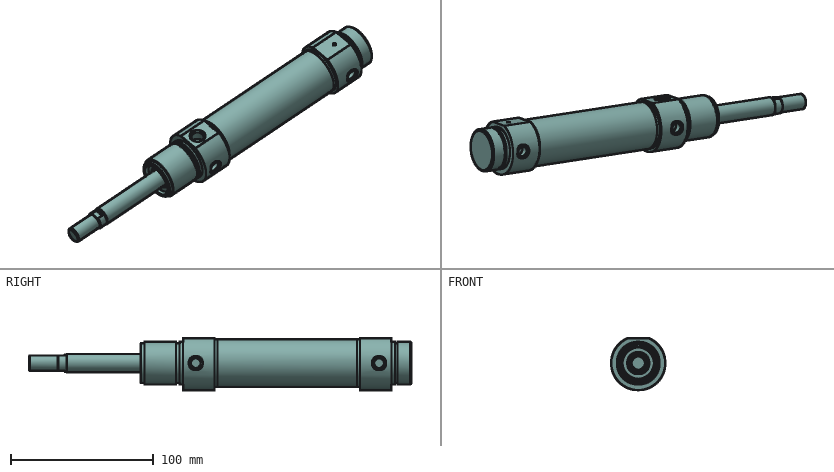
import cadquery as cq

TOTAL_LENGTH = 268.0

BARREL_DIA = 33.5
COLLAR_LENGTH = 2.1

HEAD_DIA = 38.0
HEAD_LENGTH = 22.0
HEAD_FLAT_HEIGHT = 17.5
FRONT_HEAD_START = 108.0
REAR_HEAD_START = 231.8

NOSE_DIA = 30.0
GROOVE_DEPTH = 1.0
FRONT_NOSE_START = 78.0
FRONT_NOSE_END_DIA = 28.0
FRONT_NOSE_STEP = 3.0
FRONT_NOSE_CHAMFER = 0.67
FRONT_GROOVE_START = 103.2
FRONT_GROOVE_WIDTH = 2.5
REAR_GROOVE_START = 256.5
REAR_GROOVE_WIDTH = 1.5
REAR_CHAMFER = 1.0

RECESS_MOUTH_DIA = 23.5
RECESS_FLOOR_DIA = 22.0
RECESS_DEPTH = 2.7
ROD_HOLE_MOUTH_DIA = 15.5
ROD_HOLE_CHAMFER_DIA = 14.0
ROD_HOLE_CHAMFER = 0.8

PIVOT_DIA = 7.0
PIVOT_BORE_DIA = 10.0
PIVOT_BORE_DEPTH = 1.0
PIVOT_DEPTH = 6.7
FRONT_HOLES_STATION = 116.8
REAR_HOLES_STATION = 245.2

PORT_DIA = 8.5
PORT_MOUTH_DIA = 11.0
PORT_DEPTH = 8.0
PORT_PASSAGE_DIA = 3.0
PORT_PASSAGE_DEPTH = 2.7
VENT_DIA = 2.0
VENT_DEPTH = 2.7

ROD_DIA = 12.9
ROD_NECK_DIA = 12.3
ROD_NECK_START = 26.8
THREAD_DIA = 11.0
THREAD_LENGTH = 20.0
SHOULDER_DIA = 11.8
TIP_CHAMFER = 0.8
NECK_TAPER = 0.5
WRENCH_FLAT_END = 24.7
ACROSS_FLATS = 10.7

FRONT_HEAD_END = FRONT_HEAD_START + HEAD_LENGTH
BARREL_START = FRONT_HEAD_END + COLLAR_LENGTH
BARREL_END = REAR_HEAD_START - COLLAR_LENGTH
REAR_HEAD_END = REAR_HEAD_START + HEAD_LENGTH


def turned(*outline):
    """Solid of revolution about Y from (diameter, station) points, closed along the axis."""
    points = [(diameter / 2, station) for diameter, station in outline]
    points = [(0, points[0][1])] + points + [(0, points[-1][1])]
    return cq.Workplane("XY").polyline(points).close().revolve(360, (0, 0, 0), (0, 1, 0))


def head(start):
    """Round head block with its top flat."""
    block = turned((HEAD_DIA, start), (HEAD_DIA, start + HEAD_LENGTH))
    above_flat = (
        cq.Workplane("XY", origin=(0, start + HEAD_LENGTH / 2, HEAD_FLAT_HEIGHT))
        .box(HEAD_DIA, HEAD_LENGTH, HEAD_DIA, centered=(True, True, False))
    )
    return block.cut(above_flat)


def groove(start, width):
    """Ring that cuts a square thread relief into a nose."""
    floor_dia = NOSE_DIA - 2 * GROOVE_DEPTH
    ring = turned((NOSE_DIA, start), (NOSE_DIA, start + width))
    core = turned((floor_dia, start), (floor_dia, start + width))
    return ring.cut(core)


def pivot_holes(station):
    """Pair of counterbored blind holes facing each other across the head."""
    holes = cq.Workplane()
    for side in (-1, 1):
        plane = cq.Plane(origin=(side * HEAD_DIA / 2, station, 0), xDir=(0, 1, 0), normal=(side, 0, 0))
        bore = cq.Workplane(plane).circle(PIVOT_BORE_DIA / 2).extrude(-PIVOT_BORE_DEPTH)
        hole = cq.Workplane(plane).circle(PIVOT_DIA / 2).extrude(-PIVOT_DEPTH)
        holes = holes.add(bore.union(hole))
    return holes.combine()


def air_port(station):
    """Countersunk blind port going down from the head flat, with a narrow passage in its floor."""
    sink = (PORT_MOUTH_DIA - PORT_DIA) / 2
    plane = cq.Workplane("XY", origin=(0, station, HEAD_FLAT_HEIGHT))
    mouth = plane.circle(PORT_MOUTH_DIA / 2).extrude(-sink, taper=45)
    port = plane.circle(PORT_DIA / 2).extrude(-PORT_DEPTH)
    passage = top_hole(station, HEAD_FLAT_HEIGHT, PORT_PASSAGE_DIA, PORT_DEPTH + PORT_PASSAGE_DEPTH)
    return port.union(mouth).union(passage)


def top_hole(station, top, diameter, depth):
    """Plain vertical hole going down from the given height."""
    return cq.Workplane("XY", origin=(0, station, top)).circle(diameter / 2).extrude(-depth)


def make_front_cover():
    chamfer_end = FRONT_NOSE_START + FRONT_NOSE_CHAMFER
    shoulder = FRONT_NOSE_START + FRONT_NOSE_STEP
    nose = turned(
        (FRONT_NOSE_END_DIA - 2 * FRONT_NOSE_CHAMFER, FRONT_NOSE_START),
        (FRONT_NOSE_END_DIA, chamfer_end),
        (FRONT_NOSE_END_DIA, shoulder),
        (NOSE_DIA, shoulder),
        (NOSE_DIA, FRONT_HEAD_START),
    )
    collar = turned((BARREL_DIA, FRONT_HEAD_END), (BARREL_DIA, BARREL_START))
    recess_floor = FRONT_NOSE_START + RECESS_DEPTH
    rod_passage = turned(
        (RECESS_MOUTH_DIA, FRONT_NOSE_START),
        (RECESS_FLOOR_DIA, recess_floor),
        (ROD_HOLE_MOUTH_DIA, recess_floor),
        (ROD_HOLE_CHAMFER_DIA, recess_floor + ROD_HOLE_CHAMFER),
        (ROD_DIA, recess_floor + ROD_HOLE_CHAMFER),
        (ROD_DIA, BARREL_START),
    )
    return (
        nose.union(head(FRONT_HEAD_START))
        .union(collar)
        .cut(groove(FRONT_GROOVE_START, FRONT_GROOVE_WIDTH))
        .cut(rod_passage)
        .cut(pivot_holes(FRONT_HOLES_STATION))
        .cut(air_port(FRONT_HOLES_STATION))
    )


def make_barrel():
    return turned((BARREL_DIA, BARREL_START), (BARREL_DIA, BARREL_END))


def make_rear_cover():
    collar = turned((BARREL_DIA, BARREL_END), (BARREL_DIA, REAR_HEAD_START))
    nose = turned(
        (NOSE_DIA, REAR_HEAD_END),
        (NOSE_DIA, TOTAL_LENGTH - REAR_CHAMFER),
        (NOSE_DIA - 2 * REAR_CHAMFER, TOTAL_LENGTH),
    )
    return (
        collar.union(head(REAR_HEAD_START))
        .union(nose)
        .cut(groove(REAR_GROOVE_START, REAR_GROOVE_WIDTH))
        .cut(pivot_holes(REAR_HOLES_STATION))
        .cut(top_hole(REAR_HOLES_STATION, HEAD_FLAT_HEIGHT, VENT_DIA, VENT_DEPTH))
    )


def make_rod():
    rod = turned(
        (THREAD_DIA - 2 * TIP_CHAMFER, 0),
        (THREAD_DIA, TIP_CHAMFER),
        (THREAD_DIA, THREAD_LENGTH),
        (SHOULDER_DIA, THREAD_LENGTH),
        (ROD_NECK_DIA, THREAD_LENGTH + NECK_TAPER),
        (ROD_NECK_DIA, ROD_NECK_START - NECK_TAPER),
        (ROD_DIA, ROD_NECK_START),
        (ROD_DIA, BARREL_START),
    )
    half_flats = ACROSS_FLATS / 2
    above = ROD_DIA - half_flats
    flat_cut = (
        cq.Workplane("YZ")
        .moveTo(THREAD_LENGTH, half_flats)
        .lineTo(WRENCH_FLAT_END, half_flats)
        .line(above, above)
        .lineTo(THREAD_LENGTH, ROD_DIA)
        .close()
        .extrude(ROD_DIA / 2, both=True)
    )
    return rod.cut(flat_cut).cut(flat_cut.mirror("XY"))


front_cover = make_front_cover()
barrel = make_barrel()
rear_cover = make_rear_cover()
rod = make_rod()

result = cq.Compound.makeCompound([front_cover.val(), barrel.val(), rear_cover.val(), rod.val()])